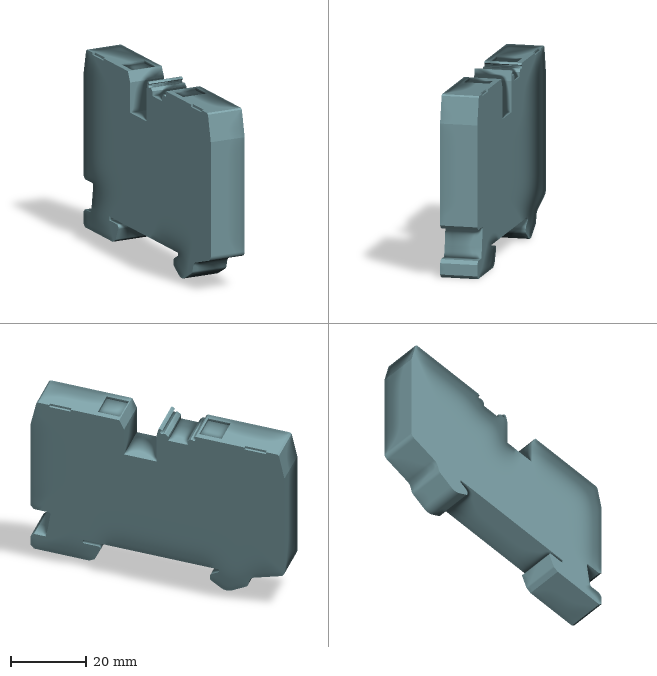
import cadquery as cq
import math

LENGTH = 71.5
THICKNESS = 10.2
HEIGHT = 49.5

SLOPE_DROP = 7.6
SLOPE_INSET = 1.6
TOP_BEVEL_INSET = 2.1
TOP_BEVEL_DROP = 0.35

SLOT_LEFT = 26.3
SLOT_RIGHT = 35.4
SLOT_FLOOR = 38.3
SLOT_LEFT_FLARE = 1.35
SLOT_LEFT_FLARE_DROP = 2.8
SLOT_RIGHT_FLARE = 0.65
SLOT_RIGHT_FLARE_DROP = 2.65

GROOVE_CENTRE = 41.5
GROOVE_HALF_PROFILE = [
    (4.9, 0.0),
    (4.4, 0.4),
    (5.0, 0.8),
    (5.0, 1.2),
    (4.7, 1.5),
    (4.2, 1.5),
    (4.0, 1.3),
    (3.5, 1.3),
    (2.7, 2.0),
    (2.7, 3.3),
]

RAIL_FACE = 6.5
RAIL_LEFT = 14.65
RAIL_RIGHT = 53.05
LEFT_FOOT_TOP = 5.4
LEDGE_TOP = 4.9
OVERHANG = 13.3
CHAMFER = 0.9
CORNER_ROUND = 0.3

POCKET_LENGTH = 6.3
POCKET_WIDTH = 7.1
POCKET_DEPTH = 0.7
POCKET_STARTS = (18.4, 47.0)
POCKET_FRONT = 1.5

PINHOLE_DIAMETER = 0.15
PINHOLE_GAP = 0.35
PINHOLE_DEPTH = POCKET_DEPTH
PINHOLE_Y = POCKET_FRONT + POCKET_WIDTH / 2
PINHOLE_CENTRES = (
    POCKET_STARTS[0] - PINHOLE_GAP,
    POCKET_STARTS[1] + POCKET_LENGTH + PINHOLE_GAP,
)

NOTCH_LENGTH = 6.0
NOTCH_WIDTH = 0.65
NOTCH_DEPTH = 0.65
NOTCH_STARTS = (5.2, 60.3)


def marker_groove():
    """Groove outline from its left rim to its right rim."""
    left = [(GROOVE_CENTRE - offset, HEIGHT - depth, 0) for offset, depth in GROOVE_HALF_PROFILE]
    right = [(GROOVE_CENTRE + offset, HEIGHT - depth, 0) for offset, depth in reversed(GROOVE_HALF_PROFILE)]
    return left + right


def top_corners():
    """Corners (x, z, radius) along the top, from the left end to the right end."""
    left_end = [
        (0, HEIGHT - SLOPE_DROP, 0),
        (SLOPE_INSET, HEIGHT - TOP_BEVEL_DROP, 0),
        (TOP_BEVEL_INSET, HEIGHT, 0),
    ]
    slot = [
        (SLOT_LEFT - SLOT_LEFT_FLARE, HEIGHT, 0),
        (SLOT_LEFT, HEIGHT - SLOT_LEFT_FLARE_DROP, 0),
        (SLOT_LEFT, SLOT_FLOOR, 0),
        (SLOT_RIGHT, SLOT_FLOOR, 0),
        (SLOT_RIGHT, HEIGHT - SLOT_RIGHT_FLARE_DROP, 0),
        (SLOT_RIGHT + SLOT_RIGHT_FLARE, HEIGHT, 0),
    ]
    right_end = [(LENGTH - x, z, radius) for x, z, radius in reversed(left_end)]
    return left_end + slot + marker_groove() + right_end


def right_foot_corners():
    """Lower right end and hooked foot, from the right side to the rail face."""
    return [
        (LENGTH, 9.15, 1.5),
        (62.0, 6.0, 1.8),
        (61.05, 2.9, 1.3),
        (55.1, -0.5, 3.0),
        (50.5, 2.4, 1.1),
        (50.5, 4.15, 1.1),
        (RAIL_RIGHT, 5.65, CORNER_ROUND),
        (RAIL_RIGHT, RAIL_FACE, 0),
    ]


def left_foot_corners():
    """Flat foot and the recess above it, from the rail face to the left side."""
    return [
        (RAIL_LEFT, RAIL_FACE, 0),
        (RAIL_LEFT, LEFT_FOOT_TOP, CORNER_ROUND),
        (20.1, LEFT_FOOT_TOP, 0.8),
        (18.0, 0.85, 0.7),
        (16.5, 0, 0),
        (CHAMFER, 0, 0),
        (0, CHAMFER, 0),
        (0, LEDGE_TOP - CHAMFER, 0),
        (CHAMFER, LEDGE_TOP, 0),
        (4.15, LEDGE_TOP, 0),
        (4.7, 7.0, 8.95),
        (5.65, OVERHANG, 0.6),
        (CHAMFER, OVERHANG, 0),
        (0, OVERHANG + CHAMFER, 0),
    ]


def rounded_outline(corners):
    """Closed XZ outline whose corners (x, z, radius) are rounded by tangent arcs."""
    outline = None
    for index, (x, z, radius) in enumerate(corners):
        corner = cq.Vector(x, z)
        before = cq.Vector(*corners[index - 1][:2])
        after = cq.Vector(*corners[(index + 1) % len(corners)][:2])
        back = (before - corner).normalized()
        ahead = (after - corner).normalized()
        half_angle = back.getAngle(ahead) / 2
        setback = radius / math.tan(half_angle)
        start = corner + back * setback
        if outline is None:
            outline = cq.Workplane("XZ").moveTo(start.x, start.y)
        else:
            outline = outline.lineTo(start.x, start.y)
        if radius > 0:
            end = corner + ahead * setback
            middle_distance = radius / math.sin(half_angle) - radius
            middle = corner + (back + ahead).normalized() * middle_distance
            outline = outline.threePointArc((middle.x, middle.y), (end.x, end.y))
    return outline.close()


def top_cut(x_start, y_start, length, width, depth):
    """Block that removes a rectangular recess from the top face."""
    return cq.Workplane("XY").box(length, width, depth, centered=False).translate(
        (x_start, y_start, HEIGHT - depth)
    )


result = rounded_outline(top_corners() + right_foot_corners() + left_foot_corners()).extrude(-THICKNESS)

for pocket_start in POCKET_STARTS:
    result = result.cut(top_cut(pocket_start, POCKET_FRONT, POCKET_LENGTH, POCKET_WIDTH, POCKET_DEPTH))

for pinhole_x in PINHOLE_CENTRES:
    pinhole = cq.Workplane("XY").circle(PINHOLE_DIAMETER / 2).extrude(PINHOLE_DEPTH)
    result = result.cut(pinhole.translate((pinhole_x, PINHOLE_Y, HEIGHT - PINHOLE_DEPTH)))

for notch_start in NOTCH_STARTS:
    result = result.cut(top_cut(notch_start, 0, NOTCH_LENGTH, NOTCH_WIDTH, NOTCH_DEPTH))